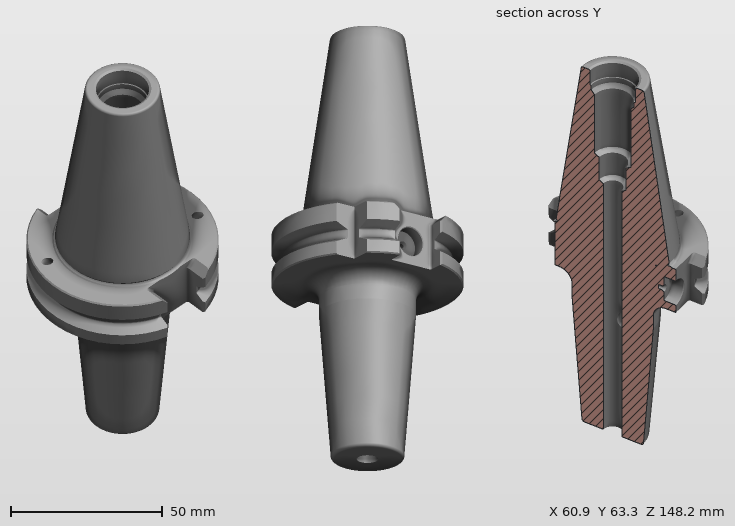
import cadquery as cq
import math

total_height = 148.2

taper_length = 68.0
gauge_radius = 22.2
taper_slope = 7 / 24 / 2
gauge_z = total_height - taper_length
small_end_radius = gauge_radius - taper_length * taper_slope
small_end_fillet = 0.9

neck_radius = 21.6
neck_drop = 0.9
collar_top_radius = 22.7
collar_base_radius = 23.1

flange_radius = 31.65
flange_drop = 1.2
flange_top = gauge_z - flange_drop
flange_bottom = 60.8
flange_height = flange_top - flange_bottom
rim_chamfer = 0.5
groove_z = 69.0
groove_floor_radius = 28.0
groove_floor_half = 1.5
groove_fillet = 0.3
groove_slope = math.tan(math.radians(30))
groove_mouth_half = groove_floor_half + (flange_radius - groove_floor_radius) * groove_slope

nose_radius = 16.0
nose_fillet = 4.9
nose_taper_top = 50.5
nose_tip_radius = 12.2
nose_tip_fillet = 1.2

mouth_radius = 9.5
mouth_depth = 0.5
pilot_radius = 8.7
pilot_depth = 6.2
relief_radius = 8.3
relief_depth = 8.3
seat_depth = 9.8
thread_radius = 7.0
thread_depth = 34.1
channel_radius = 5.2
channel_depth = 44.5
through_radius = 3.5
drill_tip_slope = 1 / math.tan(math.radians(59))

slot_half_width = 8.0
slot_corner_radius = 0.7
slot_flare = 2.8
slot_rim_chamfer = 0.6
left_slot_floor = 24.8
right_slot_floor = 22.7
notch_x = -18.5
notch_y = 18.4

chip_hole_radius = 4.9
chip_hole_depth = 4.6
chip_hole_chamfer = 0.3
pilot_hole_radius = 0.7
pilot_hole_depth = 2.2
pilot_hole_chamfer = 0.7

coolant_radius = 1.6
coolant_circle_radius = 27.0
coolant_direction = 70.0
coolant_tilt = 35.0

overshoot = 3.0


def revolve_profile(sketch):
    """Close a half profile and turn it about the Z axis."""
    return sketch.close().revolve(360, (0, 0, 0), (0, 1, 0))


def make_body():
    """Taper, flange and nose as one turned solid."""
    sketch = (
        cq.Workplane("XZ")
        .moveTo(0, 0)
        .lineTo(nose_tip_radius - nose_tip_fillet, 0)
        .radiusArc((nose_tip_radius, nose_tip_fillet), -nose_tip_fillet)
        .lineTo(nose_radius, nose_taper_top)
        .lineTo(nose_radius, flange_bottom - nose_fillet)
        .radiusArc((nose_radius + nose_fillet, flange_bottom), nose_fillet)
        .lineTo(flange_radius - rim_chamfer, flange_bottom)
        .lineTo(flange_radius, flange_bottom + rim_chamfer)
        .lineTo(flange_radius, groove_z - groove_mouth_half)
        .lineTo(groove_floor_radius, groove_z - groove_floor_half)
        .lineTo(groove_floor_radius, groove_z + groove_floor_half)
        .lineTo(flange_radius, groove_z + groove_mouth_half)
        .lineTo(flange_radius, flange_top - rim_chamfer)
        .lineTo(flange_radius - rim_chamfer, flange_top)
        .lineTo(collar_base_radius, flange_top)
        .lineTo(collar_top_radius, gauge_z - neck_drop)
        .lineTo(neck_radius, gauge_z - neck_drop)
        .lineTo(gauge_radius, gauge_z)
        .lineTo(small_end_radius, total_height)
        .lineTo(0, total_height)
    )
    turned = revolve_profile(sketch).faces(">Z").edges().fillet(small_end_fillet)
    reach = groove_floor_half + groove_fillet
    floor_corners = cq.selectors.BoxSelector((-1.5, -1.5, groove_z - reach), (1.5, 1.5, groove_z + reach))
    return turned.edges(floor_corners).fillet(groove_fillet)


def make_bore():
    """Stepped draw-bar bore that runs through to the nose."""
    thread_tip = (thread_radius - channel_radius) * drill_tip_slope
    channel_tip = (channel_radius - through_radius) * drill_tip_slope
    steps = [
        (mouth_radius, 0),
        (pilot_radius, mouth_depth),
        (pilot_radius, pilot_depth),
        (relief_radius, pilot_depth),
        (relief_radius, relief_depth),
        (thread_radius, seat_depth),
        (thread_radius, thread_depth),
        (channel_radius, thread_depth + thread_tip),
        (channel_radius, channel_depth),
        (through_radius, channel_depth + channel_tip),
        (through_radius, total_height),
        (0, total_height),
    ]
    sketch = cq.Workplane("XZ").moveTo(0, total_height)
    for radius, depth in steps:
        sketch = sketch.lineTo(radius, total_height - depth)
    return revolve_profile(sketch)


def make_slot(side, floor):
    """Drive slot on one side (+1 or -1 along X), open outward, flared toward the flange top."""
    flare_half_width = slot_half_width + slot_flare
    channel = (
        cq.Workplane("YZ", origin=(floor, 0, 0))
        .moveTo(-slot_half_width, flange_bottom)
        .lineTo(slot_half_width, flange_bottom)
        .lineTo(slot_half_width, flange_top - slot_flare)
        .lineTo(flare_half_width, flange_top)
        .lineTo(-flare_half_width, flange_top)
        .lineTo(-slot_half_width, flange_top - slot_flare)
        .close()
        .extrude(flange_radius - floor)
        .faces("<X")
        .edges("not #Z")
        .fillet(slot_corner_radius)
    )
    mouth_half_width = slot_half_width + slot_rim_chamfer
    mouth_x = math.sqrt(flange_radius**2 - mouth_half_width**2)
    spread = flange_radius - mouth_x
    mouth = (
        cq.Workplane("XY", origin=(0, 0, flange_bottom))
        .moveTo(mouth_x - slot_rim_chamfer, slot_half_width)
        .lineTo(flange_radius, mouth_half_width + spread)
        .lineTo(flange_radius, -mouth_half_width - spread)
        .lineTo(mouth_x - slot_rim_chamfer, -slot_half_width)
        .close()
        .extrude(flange_height)
    )
    slot = channel.union(mouth)
    return slot if side > 0 else slot.mirror("YZ")


def make_notch():
    """Orientation notch in the -X, +Y corner of the flange, through its full height."""
    size = flange_radius
    corner = (notch_x - size, notch_y, flange_bottom)
    return cq.Workplane("XY").box(size, size, flange_height, centered=False).translate(corner)


def make_chamfered_hole(x, radius, depth, chamfer):
    """Blind hole along +X at groove height, with a 45 degree chamfer at its mouth."""
    sketch = (
        cq.Workplane("XZ", origin=(x, 0, groove_z))
        .lineTo(0, radius + chamfer)
        .lineTo(chamfer, radius)
        .lineTo(depth, radius)
        .lineTo(depth, 0)
        .close()
    )
    return sketch.revolve(360, (0, 0, 0), (1, 0, 0))


def make_chip_hole():
    """Flat-bottomed hole in the left slot floor, with a small pilot hole in its center."""
    mouth_x = -left_slot_floor
    hole = make_chamfered_hole(mouth_x, chip_hole_radius, chip_hole_depth, chip_hole_chamfer)
    pilot = make_chamfered_hole(
        mouth_x + chip_hole_depth, pilot_hole_radius, pilot_hole_depth, pilot_hole_chamfer
    )
    return hole.union(pilot)


def make_coolant_hole(direction):
    """Hole slanting from the flange face inward and down to the central bore."""
    angle = math.radians(direction)
    tilt = math.radians(coolant_tilt)
    outward = cq.Vector(math.cos(angle), math.sin(angle), 0)
    up = cq.Vector(0, 0, 1)
    axis = outward * -math.sin(tilt) - up * math.cos(tilt)
    entry = outward * coolant_circle_radius + up * flange_top
    length = coolant_circle_radius / math.sin(tilt)
    start = entry - axis * overshoot
    return cq.Workplane(cq.Solid.makeCylinder(coolant_radius, length + overshoot, start, axis))


result = make_body().cut(make_bore())
result = result.cut(make_slot(1, right_slot_floor)).cut(make_slot(-1, left_slot_floor))
result = result.cut(make_notch()).cut(make_chip_hole())
for direction in (coolant_direction, coolant_direction + 180):
    result = result.cut(make_coolant_hole(direction))